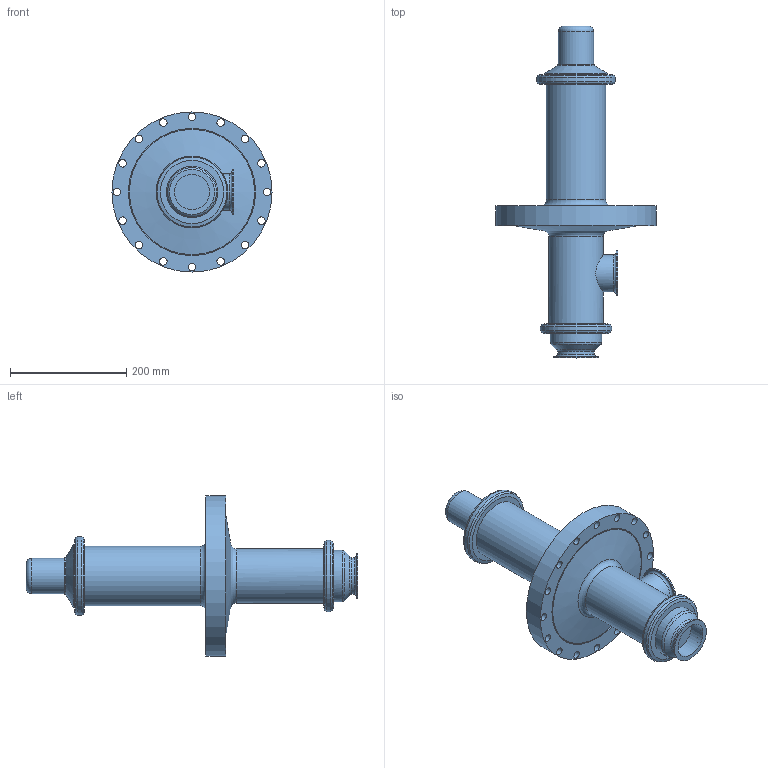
import cadquery as cq
import math


total_length = 570.13
front_length = 227.3
rod_rear_y = total_length - front_length
front_end_y = -front_length

flange_radius = 275 / 2
flange_thickness = 34
flange_hole_diameter = 13
flange_hole_count = 16
flange_hole_circle_radius = 129
cone_radius = 107.5
cone_angle = 9.5
groove_width = 1.7
groove_depth = 1
tube_root_fillet = 10

rear_tube_radius = 101.6 / 2
front_tube_radius = 93 / 2

ring_land_width = 7
ring_bevel_width = 3.4
ring_bevel_height = 1.5
ring_face_width = 1.4
ring_face_height = 5.5
ring_half_width = ring_land_width / 2 + ring_bevel_width + ring_face_width
rear_ring_radius = 135 / 2
rear_ring_y = 250.9
front_ring_radius = 123.06 / 2
front_ring_y = -177

cap_radius = 109 / 2
cap_rim_y = 261.2
cap_top_radius = 31
cap_cone_end_y = 275
cap_end_y = 276.7

ferrule_pipe_radius = 63.5 / 2
ferrule_radius = 77.5 / 2
ferrule_rim_width = 2.4
ferrule_root_fillet = 4

reducer_radius = 88 / 2
reducer_cone_start_y = -203.2
reducer_cone_end_y = -214.5
reducer_edge_fillet = 6
reducer_neck_fillet = 5

port_y = -82
port_end_x = 71.3
port_bore_diameter = 59.5
port_bore_depth = 28

rod_radius = 60.5 / 2
rod_recess = 28
rod_tip_fillet = 9

match_tolerance = 0.01


def revolve_about_y(points):
    """Revolve a closed (radius, y) outline around the Y axis."""
    return cq.Workplane("XY").polyline(points).close().revolve(360, (0, 0, 0), (0, 1, 0))


def fillet_circle(body, center, radius, fillet_radius):
    """Fillet the circular edge that has the given center and radius."""
    def is_wanted(edge):
        if edge.geomType() != "CIRCLE":
            return False
        same_radius = math.isclose(edge.radius(), radius, abs_tol=match_tolerance)
        return same_radius and (edge.arcCenter() - cq.Vector(*center)).Length < match_tolerance

    return body.newObject([e for e in body.edges().vals() if is_wanted(e)]).fillet(fillet_radius)


def clamp_ring_outline(ring_radius, ring_y):
    """Outer outline of a clamp ring as (radius, y) points, from its front to its rear."""
    shoulder_radius = ring_radius - ring_bevel_height
    half_profile = [
        (ring_radius, ring_land_width / 2),
        (shoulder_radius, ring_land_width / 2 + ring_bevel_width),
        (shoulder_radius - ring_face_height, ring_half_width),
    ]
    front = [(radius, ring_y - offset) for radius, offset in reversed(half_profile)]
    rear = [(radius, ring_y + offset) for radius, offset in half_profile]
    return front + rear


def make_turned_housing():
    """Flange, tubes, clamp rings, cap, reducer and front ferrule as one turned solid."""
    cone_end_y = -(cone_radius - front_tube_radius) * math.tan(math.radians(cone_angle))
    rim_rear_y = front_end_y + ferrule_rim_width
    body = revolve_about_y([
        (0, front_end_y),
        (ferrule_radius, front_end_y),
        (ferrule_radius, rim_rear_y),
        (ferrule_pipe_radius, rim_rear_y),
        (ferrule_pipe_radius, reducer_cone_end_y),
        (reducer_radius, reducer_cone_start_y),
        (reducer_radius, front_ring_y - ring_half_width),
        *clamp_ring_outline(front_ring_radius, front_ring_y),
        (front_tube_radius, front_ring_y + ring_half_width),
        (front_tube_radius, cone_end_y),
        (cone_radius, 0),
        (cone_radius, groove_depth),
        (cone_radius + groove_width, groove_depth),
        (cone_radius + groove_width, 0),
        (flange_radius, 0),
        (flange_radius, flange_thickness),
        (rear_tube_radius, flange_thickness),
        (rear_tube_radius, rear_ring_y - ring_half_width),
        *clamp_ring_outline(rear_ring_radius, rear_ring_y),
        (cap_radius, rear_ring_y + ring_half_width),
        (cap_radius, cap_rim_y),
        (cap_top_radius, cap_cone_end_y),
        (cap_top_radius, cap_end_y),
        (0, cap_end_y),
    ])
    rounded_corners = [
        (rear_tube_radius, flange_thickness, tube_root_fillet),
        (front_tube_radius, cone_end_y, tube_root_fillet),
        (reducer_radius, reducer_cone_start_y, reducer_edge_fillet),
        (ferrule_pipe_radius, reducer_cone_end_y, reducer_neck_fillet),
        (ferrule_pipe_radius, rim_rear_y, ferrule_root_fillet),
    ]
    for radius, y, fillet_radius in rounded_corners:
        body = fillet_circle(body, (0, y, 0), radius, fillet_radius)
    return body


def make_side_port():
    """Side pipe with its ferrule, from the main axis out to +X."""
    rim_x = port_end_x - ferrule_rim_width
    pipe = cq.Workplane("YZ").center(port_y, 0).circle(ferrule_pipe_radius).extrude(port_end_x)
    rim = (
        cq.Workplane("YZ", origin=(rim_x, port_y, 0))
        .circle(ferrule_radius)
        .extrude(ferrule_rim_width)
    )
    port = pipe.union(rim)
    return fillet_circle(port, (rim_x, port_y, 0), ferrule_pipe_radius, ferrule_root_fillet)


def make_flange_holes():
    return (
        cq.Workplane("XZ")
        .polarArray(flange_hole_circle_radius, 0, 360, flange_hole_count)
        .circle(flange_hole_diameter / 2)
        .extrude(-flange_thickness)
    )


def make_port_bore():
    return (
        cq.Workplane("YZ", origin=(port_end_x - port_bore_depth, port_y, 0))
        .circle(port_bore_diameter / 2)
        .extrude(port_bore_depth)
    )


def make_through_bore():
    return cq.Workplane("XZ", origin=(0, rod_rear_y, 0)).circle(rod_radius).extrude(total_length)


def make_housing():
    body = make_turned_housing().union(make_side_port())
    return body.cut(make_flange_holes()).cut(make_port_bore()).cut(make_through_bore())


def make_rod():
    """Plain round rod that fills the bore up to the front recess, with a rounded rear tip."""
    rod_length = total_length - rod_recess
    rod = cq.Workplane("XZ", origin=(0, rod_rear_y, 0)).circle(rod_radius).extrude(rod_length)
    return rod.faces(">Y").edges().fillet(rod_tip_fillet)


housing = make_housing()
rod = make_rod()

result = cq.Compound.makeCompound([housing.val(), rod.val()])